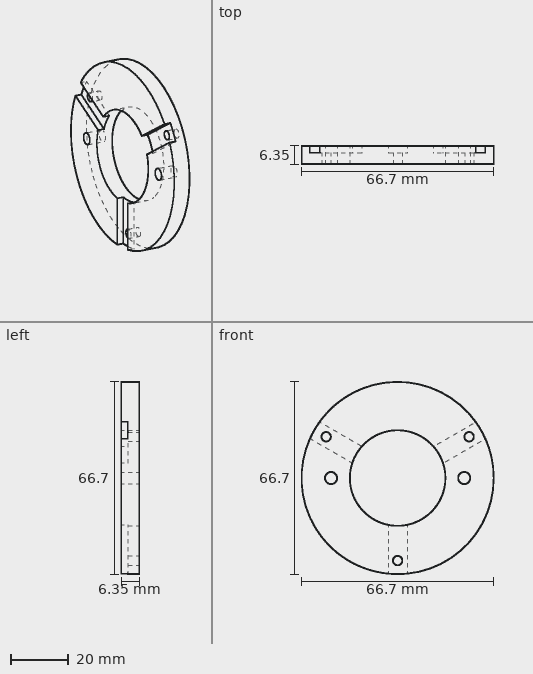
import cadquery as cq

outer_diameter = 66.7
bore_diameter = 33.1
thickness = 6.35

spoke_angles = (30, 150, 270)
small_hole_diameter = 3.2
small_hole_circle_radius = 28.6

large_hole_diameter = 4.15
large_hole_offset = 23.1

slot_width = 6.7
slot_depth = 2.4


def front_plane():
    """Plane of the front face, with its normal pointing out along -Y."""
    return cq.Workplane("XZ")


def make_ring():
    profile = front_plane().circle(outer_diameter / 2).circle(bore_diameter / 2)
    return profile.extrude(-thickness)


def make_holes():
    small_holes = (
        front_plane()
        .polarArray(small_hole_circle_radius, spoke_angles[0], 360, len(spoke_angles))
        .circle(small_hole_diameter / 2)
        .extrude(-thickness)
    )
    large_holes = (
        front_plane()
        .pushPoints([(-large_hole_offset, 0), (large_hole_offset, 0)])
        .circle(large_hole_diameter / 2)
        .extrude(-thickness)
    )
    return small_holes.add(large_holes).combine()


def make_slot(angle):
    """Radial bar running from the centre past the rim, at an angle from +X toward +Z."""
    bar = cq.Workplane("XY").box(outer_diameter, slot_depth, slot_width, centered=(False, False, True))
    bar = bar.translate((0, thickness - slot_depth, 0))
    return bar.rotate((0, 0, 0), (0, -1, 0), angle)


result = make_ring().cut(make_holes())
for spoke_angle in spoke_angles:
    result = result.cut(make_slot(spoke_angle))